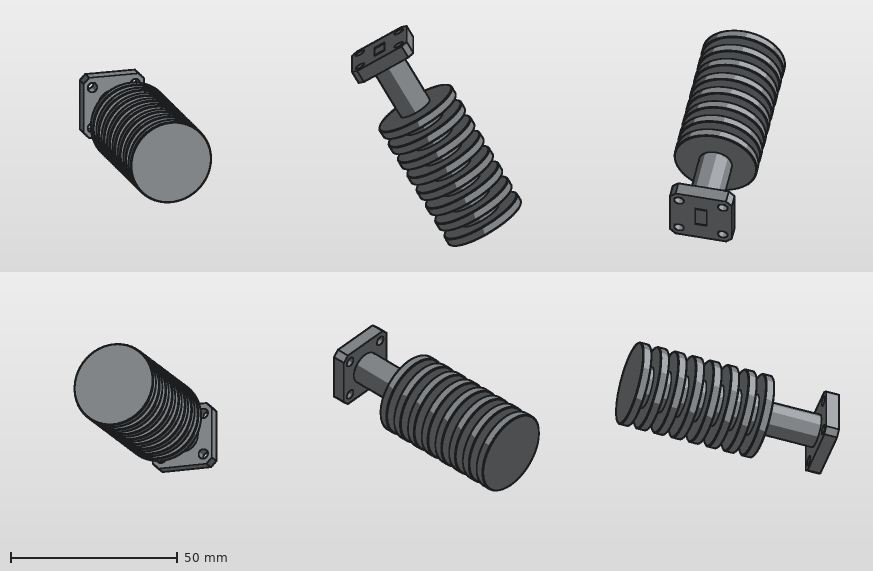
import cadquery as cq

total_length = 63.5
part_start = -total_length / 2
part_end = total_length / 2

flange_size = 19.05
flange_thickness = 4.064
flange_corner_chamfer = 1.778

hole_diameter = 2.95
hole_spacing_y = 13.46
hole_spacing_z = 12.7

window_width_y = 3.556
window_height_z = 7.112
window_depth = 0.254

shaft_diameter = 10.16
core_diameter = 12.7
fin_diameter = 25.4
fin_count = 8
fin_thickness = 2.794
fin_gap = fin_thickness
fin_edge_chamfer = 0.254

fin_pitch = fin_thickness + fin_gap
fin_stack_length = (fin_count - 1) * fin_pitch + fin_thickness
fin_stack_start = part_end - fin_stack_length


def disc(start_x, length, diameter):
    """Solid cylinder about the X axis, running from start_x toward +X."""
    return cq.Workplane("YZ", origin=(start_x, 0, 0)).circle(diameter / 2).extrude(length)


def make_flange():
    """Square plate with chamfered corners, four through holes and the window recess."""
    face_plane = cq.Workplane("YZ", origin=(part_start, 0, 0))
    plate = face_plane.rect(flange_size, flange_size).extrude(flange_thickness)
    plate = plate.edges("|X").chamfer(flange_corner_chamfer)
    holes = (
        face_plane.rect(hole_spacing_y, hole_spacing_z, forConstruction=True)
        .vertices()
        .circle(hole_diameter / 2)
        .extrude(flange_thickness)
    )
    window = face_plane.rect(window_width_y, window_height_z).extrude(window_depth)
    return plate.cut(holes).cut(window)


def make_fin(index):
    """One cooling fin with both rim edges broken."""
    start_x = fin_stack_start + index * fin_pitch
    return disc(start_x, fin_thickness, fin_diameter).edges().chamfer(fin_edge_chamfer)


def make_shaft():
    """Plain shaft between the back of the flange and the first fin."""
    shaft_start = part_start + flange_thickness
    return disc(shaft_start, fin_stack_start - shaft_start, shaft_diameter)


result = make_flange().union(make_shaft())
result = result.union(disc(fin_stack_start, fin_stack_length, core_diameter))
for fin_index in range(fin_count):
    result = result.union(make_fin(fin_index))